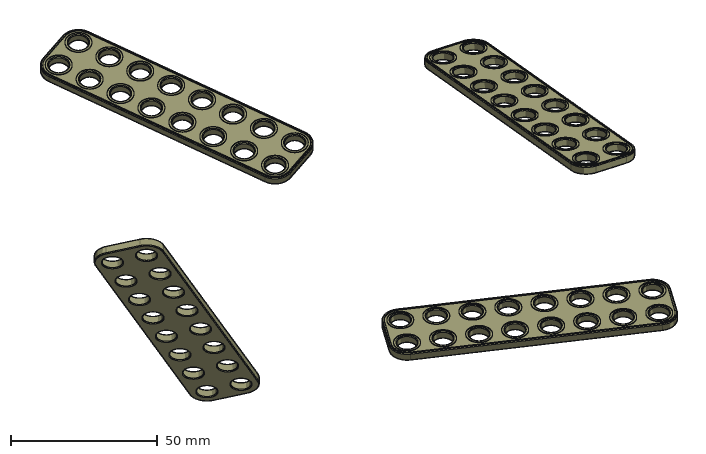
import cadquery as cq

columns = 8
rows = 2
pitch = 12.5
length = columns * pitch
width = rows * pitch
thickness = 3.1
corner_radius = pitch / 2

hole_diameter = 7.0

edge_chamfer = 0.3

recess_depth = 0.2
outline_rim_width = 0.8
hole_rim_diameter = 9.2


def rounded_block(inset, height):
    """Plate outline moved inward by the inset, standing on Z = 0."""
    block = cq.Workplane("XY").box(
        length - 2 * inset, width - 2 * inset, height, centered=(True, True, False)
    )
    return block.edges("|Z").fillet(corner_radius - inset)


def grid_cylinders(diameter, height):
    """One cylinder per grid cell, standing on Z = 0."""
    grid = cq.Workplane("XY").rarray(pitch, pitch, columns, rows)
    return grid.circle(diameter / 2).extrude(height)


def make_plate():
    """Drilled plate with chamfered edges on its top and bottom faces."""
    plate = rounded_block(0, thickness).cut(grid_cylinders(hole_diameter, thickness))
    return plate.faces("<Z or >Z").edges().chamfer(edge_chamfer)


def make_recess():
    """Volume removed from the top face between the raised rims."""
    field = rounded_block(outline_rim_width, recess_depth)
    field = field.cut(grid_cylinders(hole_rim_diameter, recess_depth))
    return field.translate((0, 0, thickness - recess_depth))


result = make_plate().cut(make_recess()).translate((0, 0, -thickness / 2))